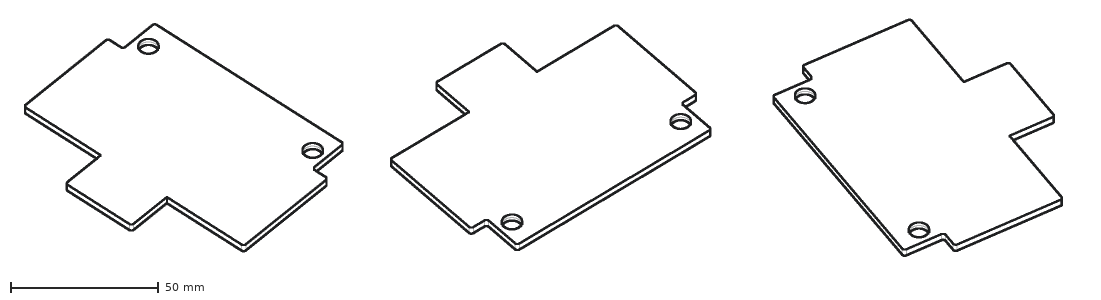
import cadquery as cq

thickness = 3.0
body_width = 100.0
total_depth = 77.0

rear_width = 86.0
rear_depth = 16.0
tab_width = 30.0
tab_depth = 18.0
body_depth = total_depth - rear_depth - tab_depth

corner_radius = 1.0

hole_diameter = 7.0
hole_spacing = 74.6
hole_rear_margin = 9.5

front_y = -total_depth / 2
body_front_y = front_y + tab_depth
shoulder_y = body_front_y + body_depth
rear_y = total_depth / 2


def slab(width, depth, start_y):
    """Plate section centred on X, reaching from start_y towards +Y."""
    section = cq.Workplane("XY").box(width, depth, thickness, centered=(True, False, True))
    return section.translate((0, start_y, 0))


def edges_at(half_width, y):
    """Select the pair of upright edges at X = +/- half_width on level y."""
    reach = corner_radius / 2
    selector = None
    for x in (-half_width, half_width):
        box = cq.selectors.BoxSelector(
            (x - reach, y - reach, -thickness),
            (x + reach, y + reach, thickness),
        )
        selector = box if selector is None else selector + box
    return selector


plate = slab(tab_width, tab_depth, front_y)
plate = plate.union(slab(body_width, body_depth, body_front_y))
plate = plate.union(slab(rear_width, rear_depth, shoulder_y))

rounded_corners = (
    (tab_width / 2, front_y),
    (body_width / 2, body_front_y),
    (body_width / 2, shoulder_y),
    (rear_width / 2, shoulder_y),
    (rear_width / 2, rear_y),
)
for half_width, y in rounded_corners:
    plate = plate.edges("|Z").edges(edges_at(half_width, y)).fillet(corner_radius)

hole_y = rear_y - hole_rear_margin
hole_centres = [(-hole_spacing / 2, hole_y), (hole_spacing / 2, hole_y)]
holes = (
    cq.Workplane("XY")
    .pushPoints(hole_centres)
    .circle(hole_diameter / 2)
    .extrude(thickness, both=True)
)

result = plate.cut(holes)